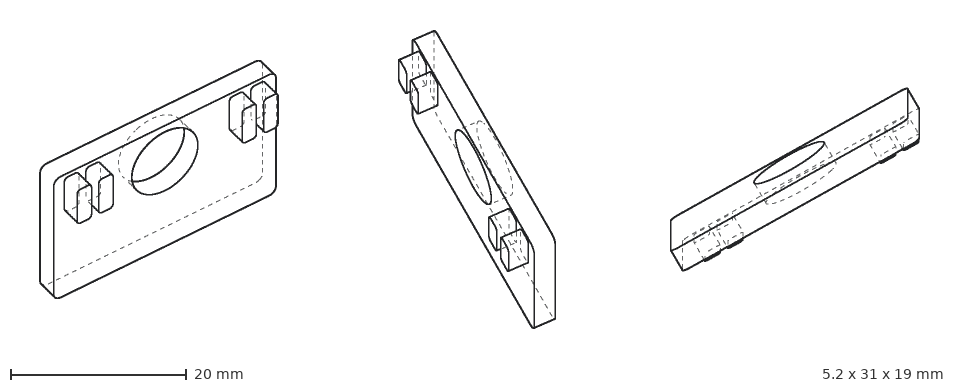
import cadquery as cq

plate_thickness = 2.7
plate_length = 31.0
plate_height = 19.0
plate_corner_radius = 1.0

window_diameter = 9.2
window_drop = 5.6

lug_depth = 2.5
lug_width = 2.0
lug_height = 5.3
lug_corner_radius = 0.5
lug_drop = 0.6
lug_end_margin = 1.5
lug_gap = 1.0

plate_mid_y = plate_length / 2
outer_lug_offset = plate_mid_y - lug_end_margin - lug_width / 2
inner_lug_offset = outer_lug_offset - lug_width - lug_gap
lug_offsets = (outer_lug_offset, inner_lug_offset)


def rounded_block(depth, width, height, corner_radius):
    """Block with its low corner at the origin and its X-parallel edges rounded."""
    block = cq.Workplane("XY").box(depth, width, height, centered=False)
    return block.edges("|X").fillet(corner_radius)


def make_plate():
    plate = rounded_block(plate_thickness, plate_length, plate_height, plate_corner_radius)
    window = (
        cq.Workplane("YZ")
        .center(plate_mid_y, plate_height - window_drop)
        .circle(window_diameter / 2)
        .extrude(plate_thickness)
    )
    return plate.cut(window)


def make_lug(center_y):
    lug = rounded_block(lug_depth, lug_width, lug_height, lug_corner_radius)
    lug_bottom = plate_height - lug_drop - lug_height
    return lug.translate((plate_thickness, center_y - lug_width / 2, lug_bottom))


result = make_plate()
for offset in lug_offsets:
    for side in (-1, 1):
        result = result.union(make_lug(plate_mid_y + side * offset))